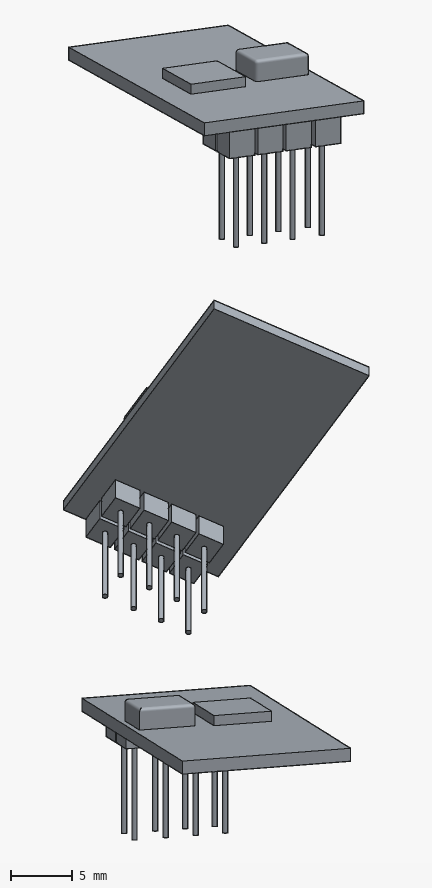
import cadquery as cq

board_length = 24.8
board_width = 14.5
board_thickness = 1.1

chip_length = 5.2
chip_width = 4.95
chip_height = 0.85
chip_x = 11.58
chip_y = 2.78

can_length = 3.9
can_width = 4.85
can_height = 1.79
can_x = 12.03
can_y = 9.13
can_edge_radius = 0.3

housing_side = 2.28
housing_height = 2.25
pin_diameter = 0.45
pin_length = 7.89
column_centers = (21.03, 23.6)
row_centers = (3.47, 6.03, 8.6, 11.28)


def block(length, width, height, x, y, z):
    """Box placed by its lowest corner."""
    return cq.Workplane("XY").box(length, width, height, centered=False).translate((x, y, z))


def rounded_can():
    """Box with rounded top edges and three rounded corners; the -X, +Y corner stays sharp."""
    can = block(can_length, can_width, can_height, can_x, can_y, board_thickness)
    rounded_edges = can.edges(">Z or (|Z and >X) or (|Z and <Y)")
    return rounded_edges.fillet(can_edge_radius)


def header_pin(x, y):
    """Housing hanging from the board with a pin below it."""
    housing = block(
        housing_side, housing_side, housing_height,
        x - housing_side / 2, y - housing_side / 2, -housing_height,
    )
    pin = (
        cq.Workplane("XY", origin=(x, y, -housing_height))
        .circle(pin_diameter / 2)
        .extrude(-pin_length)
    )
    return housing.union(pin)


result = block(board_length, board_width, board_thickness, 0, 0, 0)
result = result.union(block(chip_length, chip_width, chip_height, chip_x, chip_y, board_thickness))
result = result.union(rounded_can())
for column_x in column_centers:
    for row_y in row_centers:
        result = result.union(header_pin(column_x, row_y))